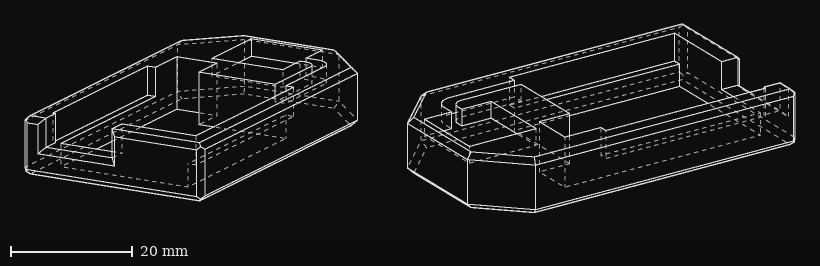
import cadquery as cq

WIDTH = 34.0
LENGTH = 60.0
HEIGHT = 10.0
BACK_CORNER_CUT = 8.08
EDGE_CHAMFER = 1.0

FLOOR_THICKNESS = 1.0
LEDGE_Z = 5.0
LEDGE_HALF_WIDTH = 13.5
WELL_HALF_WIDTH = 12.0
POCKET_FRONT_Y = 4.2
POCKET_BACK_Y = 36.8
LEFT_LEDGE_BACK_Y = 35.7

NOTCH_WIDTH = 7.6
NOTCH_BACK_Y = 42.8

OPENING_LEFT_X = -13.0
OPENING_WIDTH = 12.5

SHALLOW_DEPTH = 3.0
BACK_POCKET_LEFT_X = -6.5
BACK_POCKET_WIDTH = 13.4
BACK_POCKET_LENGTH = 13.2
BACK_POCKET_WALL = 2.0
CHANNEL_WIDTH = 2.0
CHANNEL_BACK_Y = 52.6
CHANNEL_INNER_RADIUS = 2.0
CHANNEL_OUTER_RADIUS = 3.0


def pocket_block(left_x, right_x, front_y, back_y, bottom_z):
    """Box open at the top face, given by its side positions and floor height."""
    return cq.Workplane("XY").box(
        right_x - left_x, back_y - front_y, HEIGHT - bottom_z, centered=False
    ).translate((left_x, front_y, bottom_z))


def make_body():
    """Block with cut back corners, chamfered outer edges and an open front wall."""
    block = cq.Workplane("XY").box(WIDTH, LENGTH, HEIGHT, centered=(True, False, False))
    horizontal_chamfers = (
        block.edges("|Z and >Y")
        .chamfer(BACK_CORNER_CUT)
        .faces("<Z or >Z")
        .edges()
        .chamfer(EDGE_CHAMFER)
    )
    front_corner_chamfers = block.edges("|Z and <Y").chamfer(EDGE_CHAMFER)
    return horizontal_chamfers.intersect(front_corner_chamfers).cut(make_front_opening())


def make_front_opening():
    """Slot through the front wall that flares by the chamfer size at the front face."""
    right_x = OPENING_LEFT_X + OPENING_WIDTH
    slot = pocket_block(OPENING_LEFT_X, right_x, 0, POCKET_FRONT_Y, LEDGE_Z)
    flare_left_x = OPENING_LEFT_X - EDGE_CHAMFER
    flare_width = OPENING_WIDTH + 2 * EDGE_CHAMFER
    flare_bottom_z = LEDGE_Z - EDGE_CHAMFER
    flare_height = HEIGHT + 2 * EDGE_CHAMFER - flare_bottom_z
    flare = (
        cq.Workplane("XZ")
        .rect(flare_width, flare_height)
        .workplane(offset=-EDGE_CHAMFER)
        .rect(OPENING_WIDTH, flare_height - 2 * EDGE_CHAMFER)
        .loft(ruled=True)
        .translate((flare_left_x + flare_width / 2, 0, flare_bottom_z + flare_height / 2))
    )
    return slot.union(flare)


def make_main_pocket():
    """Deep well, its back left notch and the two side ledges."""
    well = pocket_block(-WELL_HALF_WIDTH, WELL_HALF_WIDTH, POCKET_FRONT_Y, POCKET_BACK_Y, FLOOR_THICKNESS)
    notch_right_x = NOTCH_WIDTH - WELL_HALF_WIDTH
    notch = pocket_block(-WELL_HALF_WIDTH, notch_right_x, POCKET_FRONT_Y, NOTCH_BACK_Y, FLOOR_THICKNESS)
    left_ledge = pocket_block(-LEDGE_HALF_WIDTH, 0, POCKET_FRONT_Y, LEFT_LEDGE_BACK_Y, LEDGE_Z)
    right_ledge = pocket_block(0, LEDGE_HALF_WIDTH, POCKET_FRONT_Y, POCKET_BACK_Y, LEDGE_Z)
    return well.union(notch).union(left_ledge).union(right_ledge)


def make_back_pocket():
    """Shallow rectangular pocket close to the back edge."""
    back_y = LENGTH - BACK_POCKET_WALL
    right_x = BACK_POCKET_LEFT_X + BACK_POCKET_WIDTH
    return pocket_block(
        BACK_POCKET_LEFT_X, right_x, back_y - BACK_POCKET_LENGTH, back_y, HEIGHT - SHALLOW_DEPTH
    )


def make_channel():
    """Channel that leaves the back pocket sideways and bends to the main pocket."""
    start_x = BACK_POCKET_LEFT_X + BACK_POCKET_WIDTH
    outer_x = WELL_HALF_WIDTH
    inner_x = outer_x - CHANNEL_WIDTH
    inner_y = CHANNEL_BACK_Y - CHANNEL_WIDTH
    return (
        cq.Workplane("XY", origin=(0, 0, HEIGHT - SHALLOW_DEPTH))
        .moveTo(start_x, CHANNEL_BACK_Y)
        .lineTo(outer_x - CHANNEL_OUTER_RADIUS, CHANNEL_BACK_Y)
        .radiusArc((outer_x, CHANNEL_BACK_Y - CHANNEL_OUTER_RADIUS), CHANNEL_OUTER_RADIUS)
        .lineTo(outer_x, POCKET_BACK_Y)
        .lineTo(inner_x, POCKET_BACK_Y)
        .lineTo(inner_x, inner_y - CHANNEL_INNER_RADIUS)
        .radiusArc((inner_x - CHANNEL_INNER_RADIUS, inner_y), -CHANNEL_INNER_RADIUS)
        .lineTo(start_x, inner_y)
        .close()
        .extrude(SHALLOW_DEPTH)
    )


result = (
    make_body()
    .cut(make_main_pocket())
    .cut(make_back_pocket())
    .cut(make_channel())
)